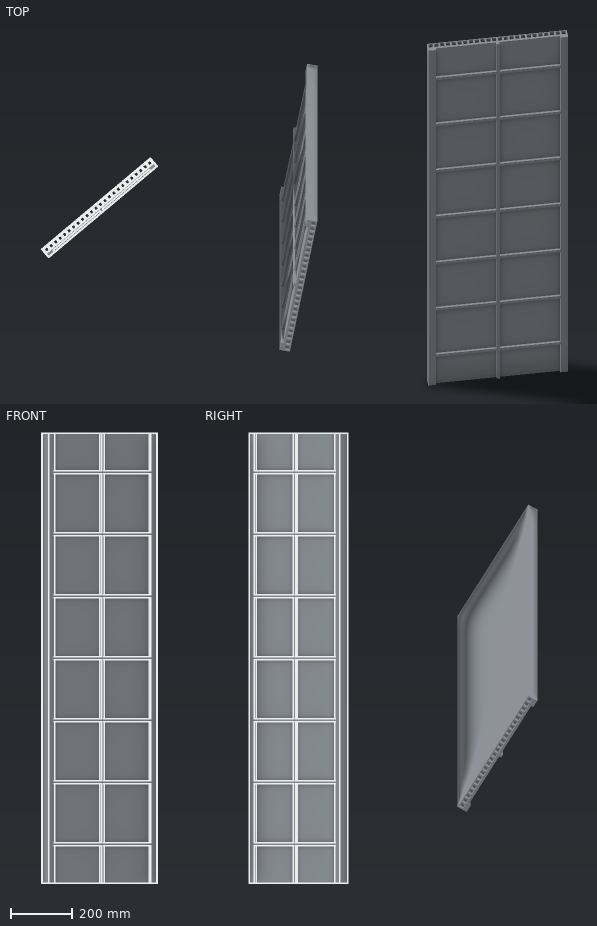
import cadquery as cq

panel_width = 462.0
panel_thickness = 34.0
panel_height = 1470.0
panel_turn = 40.0

channel_count = 24
channel_depth = 15.0
channel_web = 5.0
back_wall = 3.0
side_wall = 4.5
channel_pitch = (panel_width - 2 * side_wall + channel_web) / channel_count
channel_width = channel_pitch - channel_web

field_depth = 8.0
field_columns = 2
side_border = 26.0
upright_width = 11.0
cross_bar_height = 11.0
cross_bar_count = 7
cross_bar_pitch = 202.5
field_width = (panel_width - 2 * side_border - (field_columns - 1) * upright_width) / field_columns
field_column_pitch = field_width + upright_width

front_y = -panel_thickness / 2
back_y = panel_thickness / 2
relief_y = front_y + field_depth / 2


def centred_positions(count, pitch):
    """Positions of evenly spaced items in a row centred on zero."""
    return [(i - (count - 1) / 2) * pitch for i in range(count)]


def make_slab():
    return cq.Workplane("XY").box(panel_width, panel_thickness, panel_height)


def make_channels():
    """Through channels, enclosed by the back wall, the side walls and the webs between them."""
    channel_y = back_y - back_wall - channel_depth / 2
    centres = [(x, channel_y) for x in centred_positions(channel_count, channel_pitch)]
    return (
        cq.Workplane("XY")
        .pushPoints(centres)
        .box(channel_width, channel_depth, panel_height)
    )


def make_cross_bars():
    """Full-width horizontal bars that divide the front relief into rows."""
    centres = [(0, relief_y, z) for z in centred_positions(cross_bar_count, cross_bar_pitch)]
    return (
        cq.Workplane("XY")
        .pushPoints(centres)
        .box(panel_width, field_depth, cross_bar_height)
    )


def make_front_fields():
    """Material removed from the front face: full-height columns less the cross bars."""
    centres = [(x, relief_y) for x in centred_positions(field_columns, field_column_pitch)]
    columns = (
        cq.Workplane("XY")
        .pushPoints(centres)
        .box(field_width, field_depth, panel_height)
    )
    return columns.cut(make_cross_bars())


panel = make_slab().cut(make_channels()).cut(make_front_fields())
result = panel.rotate((0, 0, 0), (0, 0, 1), panel_turn)